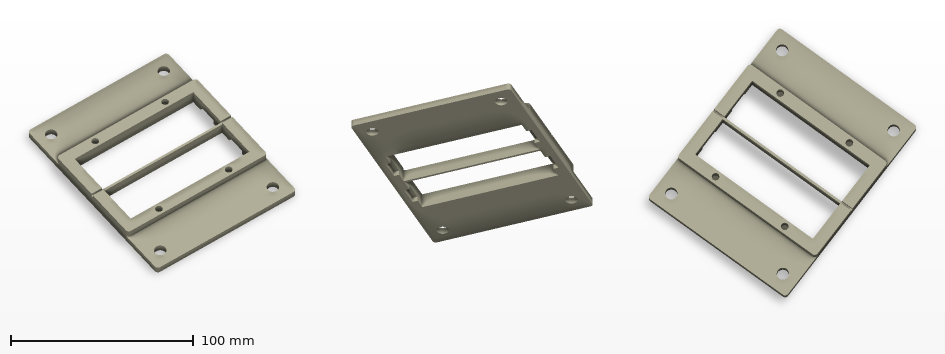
import cadquery as cq

plate_length = 120.47
plate_width = 94.4
plate_thickness = 4.0
corner_radius = 2.0

total_height = 8.6
frame_length = 66.3
window_length = 52.1
window_width = 80.2
frame_height = total_height - plate_thickness

divider_thickness = 1.4
groove_depth = 1.5
divider_height = total_height - groove_depth

mount_diameter = 6.76
mount_spacing_x = 101.4
mount_spacing_y = 76.1

pin_diameter = 4.19
pin_depth = frame_height
pin_spacing_x = (frame_length + window_length) / 2
pin_spacing_y = 47.2

notch_length = 12.0
notch_height = 2.8
notch_depth = 3.0
bay_length = (window_length - divider_thickness) / 2
notch_offset = (bay_length + divider_thickness) / 2


def rounded_slab(length, width, height, base_z):
    """Flat slab with rounded vertical corners."""
    slab = cq.Workplane("XY").box(length, width, height, centered=(True, True, False))
    return slab.edges("|Z").fillet(corner_radius).translate((0, 0, base_z))


def block(length, width, height, base_z):
    """Sharp-cornered block centred on the Z axis."""
    return (
        cq.Workplane("XY")
        .box(length, width, height, centered=(True, True, False))
        .translate((0, 0, base_z))
    )


def hole_pattern(spacing_x, spacing_y, diameter, depth, top_z):
    """Four cylinders at the corners of a rectangle, reaching down from top_z."""
    return (
        cq.Workplane("XY", origin=(0, 0, top_z))
        .rect(spacing_x, spacing_y, forConstruction=True)
        .vertices()
        .circle(diameter / 2)
        .extrude(-depth)
    )


def body():
    """Plate and frame with the window cut through and the divider left in it."""
    plate = rounded_slab(plate_length, plate_width, plate_thickness, 0)
    frame = rounded_slab(frame_length, plate_width, frame_height, plate_thickness)
    window = block(window_length, window_width, total_height, 0)
    divider = block(divider_thickness, window_width, divider_height, 0)
    groove = block(divider_thickness, plate_width, groove_depth, divider_height)
    return plate.union(frame).cut(window).union(divider).cut(groove)


def end_notches():
    """Bars across the window whose ends notch the underside of both short frame sides."""
    bar = block(notch_length, window_width + 2 * notch_depth, notch_height, 0)
    return bar.translate((-notch_offset, 0, 0)).union(bar.translate((notch_offset, 0, 0)))


mount_holes = hole_pattern(
    mount_spacing_x, mount_spacing_y, mount_diameter, plate_thickness, plate_thickness
)
pin_holes = hole_pattern(pin_spacing_x, pin_spacing_y, pin_diameter, pin_depth, total_height)

result = body().cut(mount_holes).cut(pin_holes).cut(end_notches())